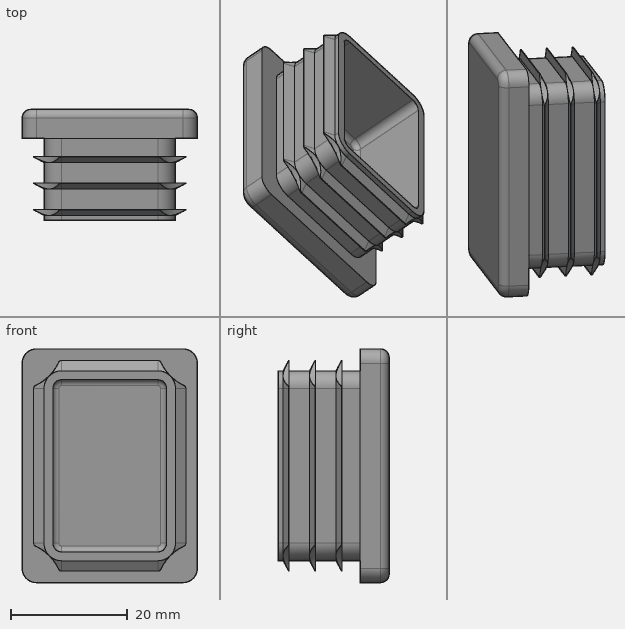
import cadquery as cq
import math


plate_width = 30.0
plate_height = 40.0
plate_thickness = 5.0
plate_corner_radius = 2.5
plate_edge_fillet = 1.5

plug_inset = 3.75
plug_width = plate_width - 2 * plug_inset
plug_height = plate_height - 2 * plug_inset
plug_length = 14.0
plug_corner_radius = 3.0

wall = 1.5
cavity_depth = plug_length
cavity_floor_fillet = 1.0

rib_count = 3
rib_protrusion = 1.75
rib_base = 1.05
rib_lip = 0.1
first_rib_distance = 3.1
rib_pitch = 4.5
rib_relief_radius = 8.0
rib_end_fillet = 0.5


def rounded_rectangle(width, height, radius):
    return cq.Sketch().rect(width, height).vertices().fillet(radius)


def plug_outline(growth=0):
    """The plug's outline offset outwards by growth."""
    return rounded_rectangle(
        plug_width + 2 * growth, plug_height + 2 * growth, plug_corner_radius + growth
    )


def plane_at(distance):
    """Work plane square to the plug, at a distance in front of the plate."""
    return cq.Workplane("XZ").workplane(offset=distance)


def make_plate():
    outline = rounded_rectangle(plate_width, plate_height, plate_corner_radius)
    plate = plane_at(0).placeSketch(outline).extrude(-plate_thickness)
    return plate.faces(">Y").edges().fillet(plate_edge_fillet)


def make_cavity():
    start = plug_length - cavity_depth
    cavity = plane_at(start).placeSketch(plug_outline(-wall)).extrude(cavity_depth)
    return cavity.faces(">Y").edges().fillet(cavity_floor_fillet)


def make_rib_envelope(distance):
    """Straight-sided prism around a rib, with its four corners scalloped down to the plug."""
    diagonal_reach = (plug_corner_radius + rib_relief_radius) / math.sqrt(2)
    relief_x = plug_width / 2 - plug_corner_radius + diagonal_reach
    relief_z = plug_height / 2 - plug_corner_radius + diagonal_reach
    reliefs = (
        plane_at(distance)
        .rect(2 * relief_x, 2 * relief_z, forConstruction=True)
        .vertices()
        .circle(rib_relief_radius)
        .extrude(rib_base)
    )
    block = (
        plane_at(distance)
        .rect(plug_width + 2 * rib_protrusion, plug_height + 2 * rib_protrusion)
        .extrude(rib_base)
    )
    return block.cut(reliefs).edges("|Y").fillet(rib_end_fillet)


def make_rib(distance):
    """One rib around the plug, fading out at the four corners."""
    lip = plane_at(distance).placeSketch(plug_outline(rib_protrusion)).extrude(rib_lip)
    base_outline = plug_outline().moved(cq.Location(cq.Vector(0, 0, rib_base - rib_lip)))
    slope = (
        plane_at(distance + rib_lip)
        .placeSketch(plug_outline(rib_protrusion), base_outline)
        .loft(ruled=True)
    )
    return lip.union(slope).intersect(make_rib_envelope(distance))


result = make_plate().union(plane_at(0).placeSketch(plug_outline()).extrude(plug_length))
for index in range(rib_count):
    result = result.union(make_rib(first_rib_distance + index * rib_pitch))
result = result.cut(make_cavity())